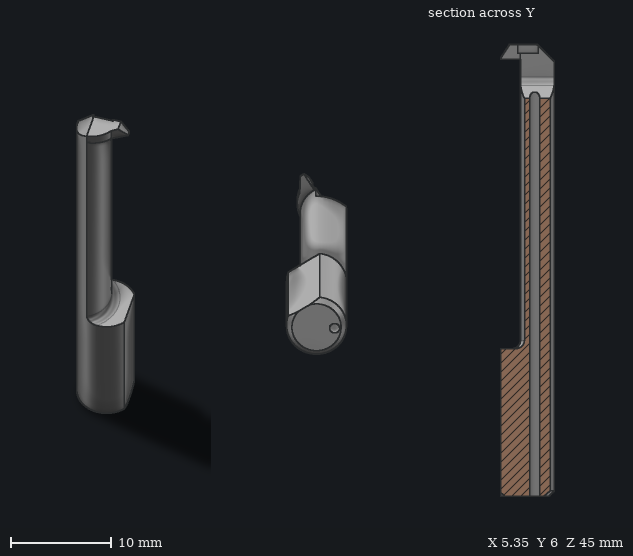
import cadquery as cq
import math

total_length = 45.0
shank_diameter = 6.0
shank_radius = shank_diameter / 2
width_over_flat = 5.35
flat_x = width_over_flat - shank_radius
end_chamfer = 0.55
coolant_diameter = 1.0
coolant_x = -1.05
coolant_y = 1.5

shoulder_z = 14.7
neck_radius = 3.0
neck_axis_x = -2.6
neck_fillet = 0.8

corner_x = (shank_radius**2 - neck_radius**2 + neck_axis_x**2) / (2 * neck_axis_x)
corner_y = -math.sqrt(shank_radius**2 - corner_x**2)

underside_z = 43.5
underside_slope = 0.15
tip_relief_y = -0.45
nose_top_x = 1.5
nose_bottom_z = 43.65
head_arc_mid = (0.1, -2.2)
head_arc_end = (0.9, -1.4)

groove_y = -0.15
groove_margin = 0.1
groove_end_x = 0.68
groove_depth = 0.9

rake_y = 0.15
rake_arc_top_z = 41.75
runout_radius = 1.3
runout_angle = math.radians(40)

clearance = 2 * shank_diameter


def make_shank():
    bar = cq.Workplane("XY").circle(shank_radius).extrude(total_length)
    bar = bar.faces("<Z").chamfer(end_chamfer)
    beyond_flat = cq.Workplane("XY").box(clearance, clearance, total_length, centered=(False, True, False))
    return bar.cut(beyond_flat.translate((flat_x, 0, 0)))


def neck_relief():
    """Ring of material removed around the offset neck axis, rounded at the shoulder."""
    fillet_drop = neck_fillet * (1 - math.sqrt(0.5))
    return (
        cq.Workplane("XZ")
        .moveTo(neck_radius, total_length)
        .lineTo(neck_radius, shoulder_z + neck_fillet)
        .threePointArc(
            (neck_radius + fillet_drop, shoulder_z + fillet_drop),
            (neck_radius + neck_fillet, shoulder_z),
        )
        .lineTo(clearance, shoulder_z)
        .lineTo(clearance, total_length)
        .close()
        .revolve(360, (0, 0, 0), (0, 1, 0))
        .translate((neck_axis_x, 0, 0))
    )


def make_head():
    """Hooked tip: rounded plan, relieved underside and slanted nose."""
    plan = (
        cq.Workplane("XY")
        .moveTo(corner_x, 0)
        .lineTo(corner_x, corner_y)
        .threePointArc(head_arc_mid, head_arc_end)
        .lineTo(flat_x, tip_relief_y)
        .lineTo(flat_x, 0)
        .close()
        .extrude(total_length)
    )
    relieved_side = (
        cq.Workplane("YZ")
        .polyline([
            (0, underside_z),
            (0, total_length),
            (-clearance, total_length),
            (-clearance, underside_z + underside_slope * clearance),
        ])
        .close()
        .extrude(clearance, both=True)
    )
    nose = (
        cq.Workplane("XZ")
        .polyline([
            (corner_x, shoulder_z),
            (corner_x, total_length),
            (nose_top_x, total_length),
            (flat_x, nose_bottom_z),
            (flat_x, shoulder_z),
        ])
        .close()
        .extrude(clearance, both=True)
    )
    return plan.intersect(relieved_side).intersect(nose)


def rake_cut():
    """Material removed on the +Y side, ending in an arc and a sloped run-out."""
    def arc_point(angle):
        return (
            rake_y + runout_radius * (1 - math.cos(angle)),
            rake_arc_top_z - runout_radius * math.sin(angle),
        )

    arc_end = arc_point(runout_angle)
    slope_end_z = arc_end[1] - (clearance - arc_end[0]) / math.tan(runout_angle)
    return (
        cq.Workplane("YZ")
        .moveTo(rake_y, total_length)
        .lineTo(rake_y, rake_arc_top_z)
        .threePointArc(arc_point(runout_angle / 2), arc_end)
        .lineTo(clearance, slope_end_z)
        .lineTo(clearance, total_length)
        .close()
        .extrude(clearance, both=True)
    )


def back_bevel():
    """45 degree bevel from the top face down the -X side."""
    bevel_run = clearance + corner_x
    return (
        cq.Workplane("XZ")
        .polyline([
            (corner_x, total_length),
            (-clearance, total_length),
            (-clearance, total_length - bevel_run),
        ])
        .close()
        .extrude(clearance, both=True)
    )


def chip_groove():
    start_x = corner_x - groove_margin
    return (
        cq.Workplane("XY")
        .box(groove_end_x - start_x, clearance, groove_depth, centered=False)
        .translate((start_x, groove_y, total_length - groove_depth))
    )


coolant_hole = (
    cq.Workplane("XY").center(coolant_x, coolant_y).circle(coolant_diameter / 2).extrude(total_length)
)

result = (
    make_shank()
    .cut(neck_relief())
    .union(make_head())
    .cut(rake_cut())
    .cut(back_bevel())
    .cut(chip_groove())
    .cut(coolant_hole)
)